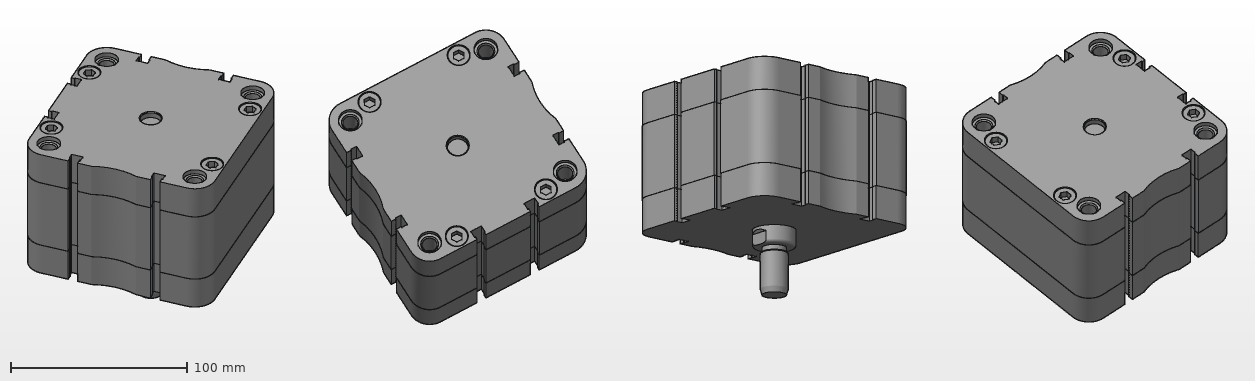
import cadquery as cq
import math


total_height = 120.0
body_width = 113.5
body_height = 82.0
cap_height = 19.5
barrel_height = body_height - 2 * cap_height
corner_radius = 12.2
cap_inset = 0.1

hollow_width = 26.9
hollow_depth = 2.4
hollow_radius = ((hollow_width / 2) ** 2 + hollow_depth ** 2) / (2 * hollow_depth)

slot_neck_width = 5.8
slot_inner_width = 7.0
end_slot_offset = 25.1
end_slot_depth = 7.0
end_slot_neck = 3.4
side_slot_offset = 17.5
side_slot_depth = 6.2
side_slot_neck = 2.2

mount_pitch = 89.0
mount_bore_diameter = 13.5
mount_bore_depth = 2.8
mount_chamfer_diameter = 10.1
mount_hole_diameter = 8.5
screw_pitch_x = 98.0
screw_pitch_y = 58.5
screw_rim_diameter = 13.1
screw_head_diameter = 12.2
screw_recess_depth = 0.5
socket_across_flats = 6.0
socket_depth = 4.0
centre_hole_diameter = 12.0
centre_rim_diameter = 13.1
centre_hole_depth = 3.8

rod_diameter = 25.0
collar_rounding = 1.8
collar_length = 10.2
neck_diameter = 14.0
neck_end = 13.0
thread_diameter = 16.0
thread_start = 13.8
tip_diameter = 14.0
tip_chamfer_height = 3.2
tip_end = total_height - body_height
flat_spacing = 22.0
flat_start = 3.2


def t_slot(neck_depth, depth, height):
    """T-slot cutter along Z, opening toward -Y from the plane Y = 0."""
    neck = cq.Workplane("XY").rect(slot_neck_width, 2 * depth).extrude(height)
    inner_length = depth - neck_depth
    inner = (
        cq.Workplane("XY")
        .center(0, neck_depth + inner_length / 2)
        .rect(slot_inner_width, inner_length)
        .extrude(height)
    )
    return neck.union(inner)


def profile_block(width, height):
    """Square block with rounded corners, two side hollows and six T-slots."""
    block = cq.Workplane("XY").rect(width, width).extrude(height)
    block = block.edges("|Z").fillet(corner_radius)

    hollow_centre = width / 2 - hollow_depth + hollow_radius
    hollows = (
        cq.Workplane("XY")
        .pushPoints([(0, hollow_centre), (0, -hollow_centre)])
        .circle(hollow_radius)
        .extrude(height)
    )
    block = block.cut(hollows)

    face = body_width / 2
    end_slot = t_slot(end_slot_neck, end_slot_depth, height)
    side_slot = t_slot(side_slot_neck, side_slot_depth, height).rotate((0, 0, 0), (0, 0, 1), -90)
    for side in (-1, 1):
        front_slot = end_slot.translate((side * end_slot_offset, -face, 0))
        block = block.cut(front_slot)
        block = block.cut(front_slot.mirror("XZ"))
        block = block.cut(side_slot.translate((-face, side * side_slot_offset, 0)))
    return block


def make_barrel():
    barrel = profile_block(body_width, barrel_height)
    return barrel.translate((0, 0, cap_height))


def make_lower_cap():
    cap = profile_block(body_width - 2 * cap_inset, cap_height)
    return cap.cut(cq.Workplane("XY").circle(rod_diameter / 2).extrude(cap_height))


def mount_holes(cap):
    """Counterbored holes with a chamfered mouth, in the four corners."""
    chamfer = (mount_chamfer_diameter - mount_hole_diameter) / 2
    bore_floor = cap_height - mount_bore_depth
    hole = (
        cq.Workplane("XZ")
        .moveTo(0, 0)
        .lineTo(mount_hole_diameter / 2, 0)
        .lineTo(mount_hole_diameter / 2, bore_floor - chamfer)
        .lineTo(mount_chamfer_diameter / 2, bore_floor)
        .lineTo(mount_bore_diameter / 2, bore_floor)
        .lineTo(mount_bore_diameter / 2, cap_height)
        .lineTo(0, cap_height)
        .close()
        .revolve(360, (0, 0, 0), (0, 1, 0))
    )
    for x in (-mount_pitch / 2, mount_pitch / 2):
        for y in (-mount_pitch / 2, mount_pitch / 2):
            cap = cap.cut(hole.translate((x, y, 0)))
    return cap


def tapered_recess(rim_diameter, floor_diameter, depth):
    """Cone frustum cutter, going down from Z = 0."""
    return (
        cq.Workplane("XY")
        .circle(rim_diameter / 2)
        .workplane(offset=-depth)
        .circle(floor_diameter / 2)
        .loft()
    )


def screw_heads(cap):
    """Screw heads: a shallow tapered recess around each head and a hexagon socket."""
    across_corners = socket_across_flats / math.cos(math.pi / 6)
    recess = tapered_recess(screw_rim_diameter, screw_head_diameter, screw_recess_depth)
    socket = (
        cq.Workplane("XY")
        .polygon(6, across_corners)
        .extrude(-screw_recess_depth - socket_depth)
        .rotate((0, 0, 0), (0, 0, 1), 90)
    )
    for x in (-screw_pitch_x / 2, screw_pitch_x / 2):
        for y in (-screw_pitch_y / 2, screw_pitch_y / 2):
            cap = cap.cut(recess.translate((x, y, cap_height)))
            cap = cap.cut(socket.translate((x, y, cap_height)))
    return cap


def centre_hole(cap):
    """Blind centring hole with a chamfered rim."""
    chamfer = (centre_rim_diameter - centre_hole_diameter) / 2
    hole = cq.Workplane("XY").circle(centre_hole_diameter / 2).extrude(-centre_hole_depth)
    rim = tapered_recess(centre_rim_diameter, centre_hole_diameter, chamfer)
    return cap.cut(hole.union(rim).translate((0, 0, cap_height)))


def make_upper_cap():
    cap = profile_block(body_width - 2 * cap_inset, cap_height)
    cap = mount_holes(cap)
    cap = screw_heads(cap)
    cap = centre_hole(cap)
    return cap.translate((0, 0, cap_height + barrel_height))


def make_piston_rod():
    """Turned rod with a threaded end, and two wrench flats facing +X and -X."""
    rod = (
        cq.Workplane("XZ")
        .moveTo(0, cap_height)
        .lineTo(rod_diameter / 2, cap_height)
        .lineTo(rod_diameter / 2, collar_rounding - collar_length)
        .radiusArc((rod_diameter / 2 - collar_rounding, -collar_length), collar_rounding)
        .lineTo(neck_diameter / 2, -collar_length)
        .lineTo(neck_diameter / 2, -neck_end)
        .lineTo(thread_diameter / 2, -thread_start)
        .lineTo(thread_diameter / 2, tip_chamfer_height - tip_end)
        .lineTo(tip_diameter / 2, -tip_end)
        .lineTo(0, -tip_end)
        .close()
        .revolve(360, (0, 0, 0), (0, 1, 0))
    )
    flat_depth = (rod_diameter - flat_spacing) / 2
    flat_cut = (
        cq.Workplane("XZ")
        .moveTo(flat_spacing / 2, -flat_start)
        .lineTo(flat_spacing / 2, -collar_length)
        .lineTo(rod_diameter / 2, -collar_length)
        .lineTo(rod_diameter / 2, flat_depth - flat_start)
        .close()
        .extrude(rod_diameter / 2, both=True)
    )
    rod = rod.cut(flat_cut)
    return rod.cut(flat_cut.mirror("YZ"))


barrel = make_barrel()
lower_cap = make_lower_cap()
upper_cap = make_upper_cap()
piston_rod = make_piston_rod()

result = cq.Compound.makeCompound(
    [barrel.val(), lower_cap.val(), upper_cap.val(), piston_rod.val()]
)